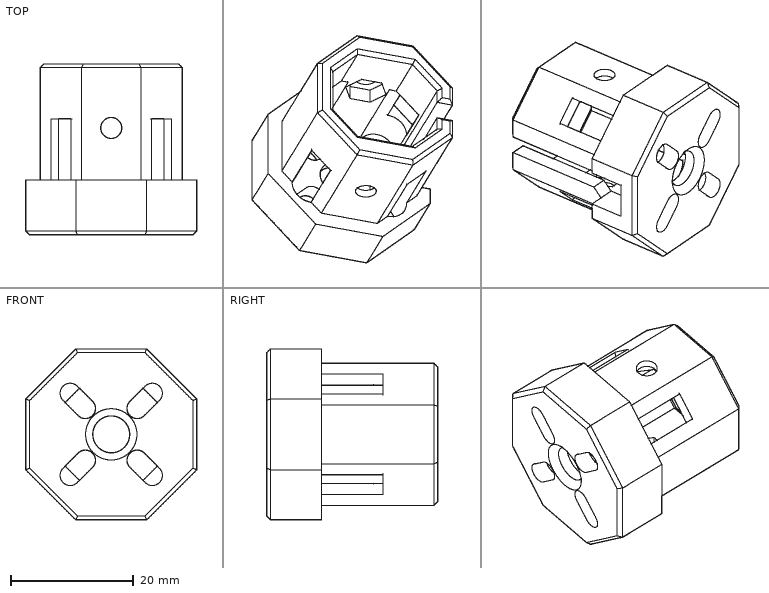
import cadquery as cq
import math

length = 28.0
octagon_sides = 8
flange_width = 28.0
flange_length = 9.0
sleeve_width = 23.3
edge_chamfer = 0.65
plate_thickness = 3.0

cavity_width = 18.0
cavity_height = 16.0

center_hole_diameter = 6.0
countersink_diameter = 8.4

slot_inner_radius = 6.0
slot_outer_radius = 9.5
slot_width = 3.3
head_channel_width = 6.3
head_channel_end = 19.0
slot_angles = [45, 135, 225, 315]

cross_hole_diameter = 3.4
cross_hole_position = 17.5

nut_sides = 6
nut_width = 6.0
nut_seat_height = 10.35

slit_width = 3.0
notch_width = 6.0


def corner_diameter(width_across_flats, sides):
    return width_across_flats / math.cos(math.pi / sides)


def turned(solid, angle):
    """The solid turned about the part axis."""
    return solid.rotate((0, 0, 0), (0, 1, 0), angle)


def section(position):
    """Sketch plane across the part axis at Y = position; it faces -Y, so negative extrusions run to +Y."""
    return cq.Workplane("XZ", origin=(0, position, 0))


def octagon(width, start, end):
    """Octagonal prism with flats facing +X and +Z."""
    outline = section(start).polygon(octagon_sides, corner_diameter(width, octagon_sides))
    return turned(outline.extrude(start - end), 180 / octagon_sides)


def outer_body():
    flange = octagon(flange_width, 0, flange_length)
    flange = flange.faces("<Y").chamfer(edge_chamfer)
    return flange.union(octagon(sleeve_width, plate_thickness, length))


def cavity():
    flats = section(plate_thickness).rect(cavity_width, cavity_height)
    flats = flats.extrude(plate_thickness - length)
    return octagon(cavity_width, plate_thickness, length).intersect(flats)


def radial_slots(width, start, end):
    slot_length = slot_outer_radius - slot_inner_radius + width
    slot_middle = (slot_inner_radius + slot_outer_radius) / 2
    slot = section(start).center(slot_middle, 0).slot2D(slot_length, width).extrude(start - end)
    slots = cq.Workplane()
    for angle in slot_angles:
        slots = slots.add(turned(slot, angle))
    return slots.combine()


def center_hole():
    countersink_depth = (countersink_diameter - center_hole_diameter) / 2
    hole = section(0).circle(center_hole_diameter / 2).extrude(-plate_thickness)
    countersink = (
        section(0)
        .circle(countersink_diameter / 2)
        .workplane(offset=-countersink_depth)
        .circle(center_hole_diameter / 2)
        .loft()
    )
    return hole.union(countersink)


def cross_hole():
    base = cq.Workplane("XY").center(0, cross_hole_position)
    hole = base.circle(cross_hole_diameter / 2).extrude(sleeve_width / 2, both=True)
    nut = base.polygon(nut_sides, corner_diameter(nut_width, nut_sides))
    return hole.union(nut.extrude(nut_seat_height, both=True))


def slit_and_notch():
    taper_end = flange_length + (notch_width - slit_width) / 2
    upper_half = (
        cq.Workplane("YZ")
        .moveTo(plate_thickness, 0)
        .lineTo(plate_thickness, notch_width / 2)
        .lineTo(flange_length, notch_width / 2)
        .lineTo(taper_end, slit_width / 2)
        .lineTo(length, slit_width / 2)
        .lineTo(length, 0)
        .close()
        .extrude(-flange_width / 2)
    )
    return upper_half.union(upper_half.mirror("XY"))


result = outer_body()
result = result.cut(cavity())
result = result.cut(radial_slots(slot_width, 0, plate_thickness))
result = result.cut(radial_slots(head_channel_width, plate_thickness, head_channel_end))
result = result.cut(center_hole())
result = result.cut(cross_hole())
result = result.cut(slit_and_notch())

result = result.faces(">Y").chamfer(edge_chamfer)